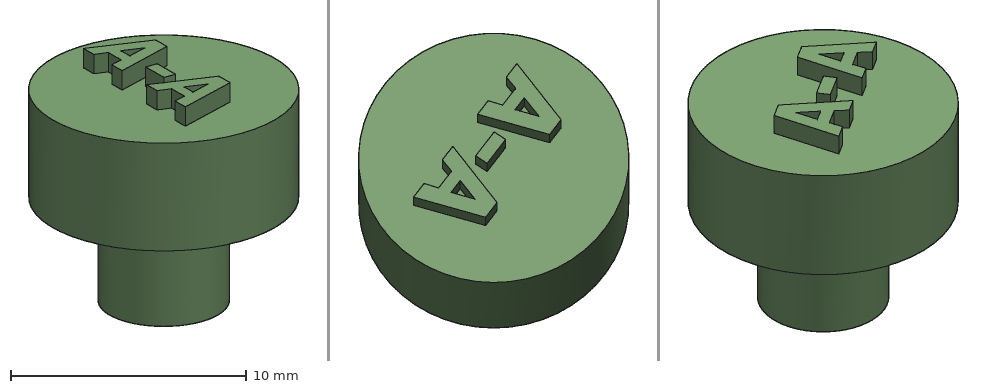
import cadquery as cq

head_diameter = 11.5
head_height = 5.0
stem_diameter = 5.6
stem_height = 4.8
top_face_z = stem_height + head_height

mark_height = 0.9
baseline_y = -1.51
letter_size_y = 3.04
letter_width = 2.88
letter_top_width = 0.84
foot_width = 0.77
letter_center_x = 2.35
letter_offset_x = -0.02

crossbar_bottom = 0.62
crossbar_bottom_width = 0.95
window_bottom = 1.17
window_top = 2.18
window_width = 0.67

dash_length = 1.36
dash_width = 0.6
dash_bottom = 1.05


def make_letter(center_x):
    """Raised letter A with a triangular window, centred on center_x."""
    half_width = letter_width / 2
    half_top = letter_top_width / 2
    half_crossbar = crossbar_bottom_width / 2
    inner_foot = half_width - foot_width
    plane = cq.Workplane("XY", origin=(center_x, baseline_y, top_face_z))
    outline = plane.polyline([
        (-half_width, 0),
        (-inner_foot, 0),
        (-half_crossbar, crossbar_bottom),
        (half_crossbar, crossbar_bottom),
        (inner_foot, 0),
        (half_width, 0),
        (half_top, letter_size_y),
        (-half_top, letter_size_y),
    ]).close().extrude(mark_height)
    window = plane.polyline([
        (-window_width / 2, window_bottom),
        (window_width / 2, window_bottom),
        (0, window_top),
    ]).close().extrude(mark_height)
    return outline.cut(window)


def make_dash():
    """Raised rectangular dash midway along the head."""
    center_y = baseline_y + dash_bottom + dash_width / 2
    plane = cq.Workplane("XY", origin=(0, center_y, top_face_z))
    return plane.rect(dash_length, dash_width).extrude(mark_height)


stem = cq.Workplane("XY").circle(stem_diameter / 2).extrude(stem_height)
head = cq.Workplane("XY", origin=(0, 0, stem_height)).circle(head_diameter / 2).extrude(head_height)

result = stem.union(head).union(make_dash())
for side in (-1, 1):
    result = result.union(make_letter(letter_offset_x + side * letter_center_x))